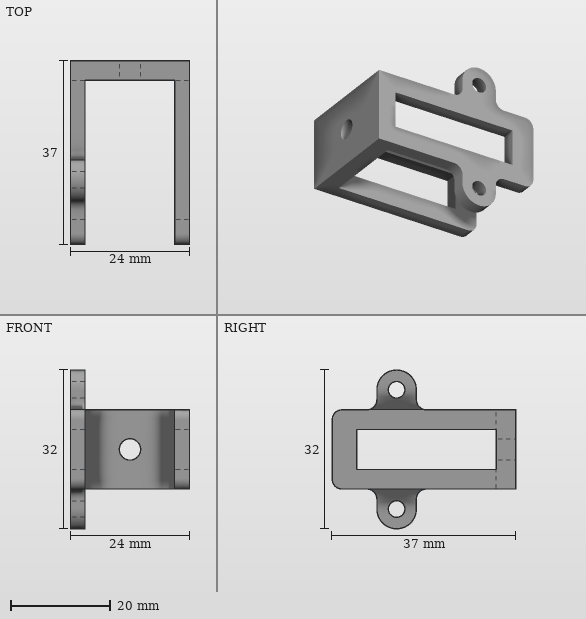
import cadquery as cq

width = 24.0
length = 37.0
body_height = 16.0
arm_thickness = 3.0
back_thickness = 4.0
corner_radius = 2.0

window_length = 28.0
window_height = 8.0

ear_radius = 4.0
ear_spacing = 24.0
ear_from_back = 24.0
ear_hole_diameter = 3.3
ear_root_radius = 2.0

back_hole_diameter = 4.25

left_x = -width / 2
back_y = length / 2
inner_back_y = back_y - back_thickness
ear_y = back_y - ear_from_back
ear_z = ear_spacing / 2


def make_u_body():
    """U-shaped body with rounded free ends on both arms."""
    gap_width = width - 2 * arm_thickness
    gap_length = length - back_thickness
    body = cq.Workplane("XY").box(width, length, body_height)
    body = body.edges("|X and <Y").fillet(corner_radius)
    gap = cq.Workplane("XY").box(gap_width, gap_length, body_height)
    return body.cut(gap.translate((0, -back_thickness / 2, 0)))


def add_ears(body):
    """Round-ended ears on the -X arm, blended into its long edges."""
    ear_strip = (
        cq.Workplane("YZ", origin=(left_x, ear_y, 0))
        .slot2D(ear_spacing + 2 * ear_radius, 2 * ear_radius, 90)
        .extrude(arm_thickness)
    )
    body = body.union(ear_strip)
    for edge_z in (-body_height / 2, body_height / 2):
        for edge_y in (ear_y - ear_radius, ear_y + ear_radius):
            root_middle = (left_x + arm_thickness / 2, edge_y, edge_z)
            root_edge = cq.selectors.NearestToPointSelector(root_middle)
            body = body.edges(root_edge).fillet(ear_root_radius)
    return body


def cut_ear_holes(body):
    holes = (
        cq.Workplane("YZ", origin=(left_x, ear_y, 0))
        .pushPoints([(0, -ear_z), (0, ear_z)])
        .circle(ear_hole_diameter / 2)
        .extrude(arm_thickness)
    )
    return body.cut(holes)


def cut_windows(body):
    window = cq.Workplane("XY").box(width, window_length, window_height)
    return body.cut(window.translate((0, inner_back_y - window_length / 2, 0)))


def cut_back_hole(body):
    hole = (
        cq.Workplane("XZ", origin=(0, back_y, 0))
        .circle(back_hole_diameter / 2)
        .extrude(back_thickness)
    )
    return body.cut(hole)


result = make_u_body()
result = add_ears(result)
result = cut_ear_holes(result)
result = cut_windows(result)
result = cut_back_hole(result)